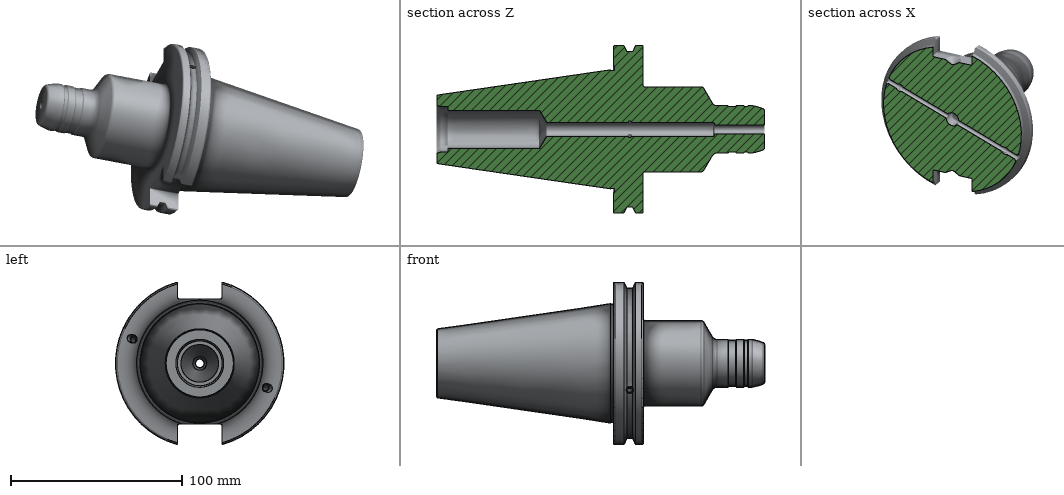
import cadquery as cq
import math

GAUGE_DIA = 69.85
TAPER_RATIO = 7 / 24
TAPER_LENGTH = 101.6
TAPER_END_CHAMFER = 0.5
NECK_DIA = 69.25

FLANGE_DIA = 98.425
FLANGE_REAR_X = 1.525
FLANGE_FRONT_X = 19.05
FLANGE_EDGE_FILLET = 1.0
GROOVE_CENTER_X = 11.15
GROOVE_MOUTH_WIDTH = 6.8
GROOVE_FLOOR_WIDTH = 3.4
GROOVE_DEPTH = 3.5
RECESS_DIA = 73.8
RECESS_DEPTH = 0.7
RECESS_FILLET = 0.6

SLOT_WIDTH = 25.7
UPPER_SLOT_FLOOR_DISTANCE = 37.7
LOWER_SLOT_FLOOR_DISTANCE = 35.5
SLOT_CORNER_FILLET = 0.6
SLOT_RIM_CHAMFER = 0.55
DIMPLE_DIA = 9.5
DRILL_POINT_ANGLE = 118

BODY_DIA = 50
BODY_ROOT_FILLET = 0.8
BODY_EDGE_FILLET = 2.0
SHOULDER_ANGLE = 60
NOSE_START_X = 60.25
NOSE_ROOT_FILLET = 3.0
NOSE_DIA = 28
NOSE_GROOVE_DIA = 27
NOSE_GROOVES = [(68.4, 73.5), (77.6, 80.4)]
LEAD_IN_START_X = 82.65
LEAD_IN_FILLET = 2.0
LEAD_IN_END_X = 88.9
LEAD_IN_END_DIA = 24.4
LEAD_IN_BULGE = 0.2
NOSE_END_X = 90
NOSE_FACE_DIA = 21.5

ENTRY_DIA = 28
COUNTERBORE_DIA = 26.2
ENTRY_LENGTH = 2.5
COUNTERBORE_DEPTH = 6.4
THREAD_BORE_DIA = 21.97
THREAD_BORE_DEPTH = 60
MIDDLE_BORE_DIA = 8
MIDDLE_BORE_END_X = 60
THROUGH_BORE_DIA = 5

COOLANT_ANGLE = 20
RADIAL_HOLE_DIA = 3.24
RADIAL_MOUTH_DIA = 4.13
RADIAL_MOUTH_DEPTH = 1.0
INLET_RADIUS = 42.1
INLET_TILT = 30
INLET_DIA = 4.92
INLET_DEPTH = 2.5
INLET_DRILL_DIA = 4.2


def axial_run(angle, height):
    """Axial run of a line that rises by height at the given angle to the axis."""
    return height / math.tan(math.radians(angle))


def revolve_about_x(profile):
    """Close an XY profile and turn it around the X axis into a solid."""
    return profile.close().revolve(360, (0, 0, 0), (1, 0, 0))


def ring_edges(solid, x):
    """Edges of the part that lie in the plane at the given X."""
    margin = 0.01
    reach = FLANGE_DIA
    slab = cq.selectors.BoxSelector((x - margin, -reach, -reach), (x + margin, reach, reach), boundingbox=True)
    return solid.edges(slab)


def make_shank():
    """Tapered shank with its neck, ending inside the flange."""
    gauge_radius = GAUGE_DIA / 2
    small_radius = gauge_radius - TAPER_RATIO * TAPER_LENGTH / 2
    shank = revolve_about_x(
        cq.Workplane("XY")
        .moveTo(-TAPER_LENGTH, 0)
        .lineTo(-TAPER_LENGTH, small_radius)
        .lineTo(0, gauge_radius)
        .lineTo(0, NECK_DIA / 2)
        .lineTo(GROOVE_CENTER_X, NECK_DIA / 2)
        .lineTo(GROOVE_CENTER_X, 0)
    )
    return shank.faces("<X").edges().chamfer(TAPER_END_CHAMFER)


def make_flange():
    """Round flange with a V groove in its rim and a shallow recess around the neck."""
    radius = FLANGE_DIA / 2
    floor_half = GROOVE_FLOOR_WIDTH / 2
    mouth_half = GROOVE_MOUTH_WIDTH / 2
    recess_x = FLANGE_REAR_X + RECESS_DEPTH
    flange = revolve_about_x(
        cq.Workplane("XY")
        .moveTo(recess_x, 0)
        .lineTo(recess_x, RECESS_DIA / 2)
        .lineTo(FLANGE_REAR_X, RECESS_DIA / 2)
        .lineTo(FLANGE_REAR_X, radius)
        .lineTo(GROOVE_CENTER_X - mouth_half, radius)
        .lineTo(GROOVE_CENTER_X - floor_half, radius - GROOVE_DEPTH)
        .lineTo(GROOVE_CENTER_X + floor_half, radius - GROOVE_DEPTH)
        .lineTo(GROOVE_CENTER_X + mouth_half, radius)
        .lineTo(FLANGE_FRONT_X, radius)
        .lineTo(FLANGE_FRONT_X, 0)
    )
    for outer_face_x in (FLANGE_REAR_X, FLANGE_FRONT_X):
        rim = ring_edges(flange, outer_face_x).edges(cq.selectors.RadiusNthSelector(-1))
        flange = rim.fillet(FLANGE_EDGE_FILLET)
    return ring_edges(flange, recess_x).fillet(RECESS_FILLET)


def make_nose_groove(start_x, end_x):
    """Shallow ring with 45 degree walls, between its two mouth edges on the nose."""
    nose_radius = NOSE_DIA / 2
    floor_radius = NOSE_GROOVE_DIA / 2
    depth = nose_radius - floor_radius
    return revolve_about_x(
        cq.Workplane("XY")
        .moveTo(start_x, nose_radius)
        .lineTo(start_x + depth, floor_radius)
        .lineTo(end_x - depth, floor_radius)
        .lineTo(end_x, nose_radius)
    )


def make_body():
    """Cylindrical body, conical shoulder and grooved nose with a rounded lead-in."""
    body_radius = BODY_DIA / 2
    nose_radius = NOSE_DIA / 2
    lead_in_radius = LEAD_IN_END_DIA / 2
    shoulder_x = NOSE_START_X - axial_run(SHOULDER_ANGLE, body_radius - nose_radius)
    lead_in_middle = (
        (LEAD_IN_START_X + LEAD_IN_END_X) / 2,
        (nose_radius + lead_in_radius) / 2 + LEAD_IN_BULGE,
    )
    body = revolve_about_x(
        cq.Workplane("XY")
        .moveTo(GROOVE_CENTER_X, 0)
        .lineTo(GROOVE_CENTER_X, body_radius)
        .lineTo(shoulder_x, body_radius)
        .lineTo(NOSE_START_X, nose_radius)
        .lineTo(LEAD_IN_START_X, nose_radius)
        .threePointArc(lead_in_middle, (LEAD_IN_END_X, lead_in_radius))
        .tangentArcPoint((NOSE_END_X, NOSE_FACE_DIA / 2), relative=False)
        .lineTo(NOSE_END_X, 0)
    )
    body = ring_edges(body, shoulder_x).fillet(BODY_EDGE_FILLET)
    body = ring_edges(body, NOSE_START_X).fillet(NOSE_ROOT_FILLET)
    body = ring_edges(body, LEAD_IN_START_X).fillet(LEAD_IN_FILLET)
    for start_x, end_x in NOSE_GROOVES:
        body = body.cut(make_nose_groove(start_x, end_x))
    return body


def make_bore():
    """Stepped bore along the axis, from the shank end to the nose face."""
    entry_x = -TAPER_LENGTH
    thread_radius = THREAD_BORE_DIA / 2
    middle_radius = MIDDLE_BORE_DIA / 2
    through_radius = THROUGH_BORE_DIA / 2
    half_point = DRILL_POINT_ANGLE / 2
    thread_end = entry_x + THREAD_BORE_DEPTH
    cone_end = thread_end + axial_run(half_point, thread_radius - middle_radius)
    middle_tip = MIDDLE_BORE_END_X + axial_run(half_point, middle_radius - through_radius)
    return revolve_about_x(
        cq.Workplane("XY")
        .moveTo(entry_x, 0)
        .lineTo(entry_x, ENTRY_DIA / 2)
        .lineTo(entry_x + ENTRY_LENGTH, COUNTERBORE_DIA / 2)
        .lineTo(entry_x + COUNTERBORE_DEPTH, COUNTERBORE_DIA / 2)
        .lineTo(entry_x + COUNTERBORE_DEPTH, thread_radius)
        .lineTo(thread_end, thread_radius)
        .lineTo(cone_end, middle_radius)
        .lineTo(MIDDLE_BORE_END_X, middle_radius)
        .lineTo(middle_tip, through_radius)
        .lineTo(NOSE_END_X, through_radius)
        .lineTo(NOSE_END_X, 0)
    )


def make_drive_slot(floor_distance):
    """Key slot across the flange on the +Z side, with a drill-point dimple in its floor."""
    half_width = SLOT_WIDTH / 2
    rim_half_width = half_width + SLOT_RIM_CHAMFER
    rim_z = math.sqrt((FLANGE_DIA / 2) ** 2 - rim_half_width**2)
    clear_z = FLANGE_DIA
    slot = (
        cq.Workplane("YZ", origin=(FLANGE_REAR_X, 0, 0))
        .moveTo(-half_width, floor_distance)
        .lineTo(half_width, floor_distance)
        .lineTo(half_width, rim_z - SLOT_RIM_CHAMFER)
        .lineTo(rim_half_width, rim_z)
        .lineTo(rim_half_width, clear_z)
        .lineTo(-rim_half_width, clear_z)
        .lineTo(-rim_half_width, rim_z)
        .lineTo(-half_width, rim_z - SLOT_RIM_CHAMFER)
        .close()
        .extrude(FLANGE_FRONT_X - FLANGE_REAR_X)
        .faces("<Z")
        .edges("|X")
        .fillet(SLOT_CORNER_FILLET)
    )
    dimple_depth = axial_run(DRILL_POINT_ANGLE / 2, DIMPLE_DIA / 2)
    dimple_center = cq.Vector(GROOVE_CENTER_X, 0, floor_distance)
    dimple = cq.Solid.makeCone(DIMPLE_DIA / 2, 0, dimple_depth, dimple_center, cq.Vector(0, 0, -1))
    return slot.union(cq.Workplane(dimple))


def make_coolant_passage():
    """Radial passage along +Y from groove floor to bore, with a tilted inlet from the flange rear face."""
    floor_radius = FLANGE_DIA / 2 - GROOVE_DEPTH
    inward = cq.Vector(0, -1, 0)
    mouth_start = cq.Vector(GROOVE_CENTER_X, floor_radius + RADIAL_MOUTH_DEPTH, 0)
    radial = cq.Solid.makeCylinder(RADIAL_HOLE_DIA / 2, mouth_start.y, mouth_start, inward)
    mouth = cq.Solid.makeCylinder(RADIAL_MOUTH_DIA / 2, 2 * RADIAL_MOUTH_DEPTH, mouth_start, inward)

    tilt = math.radians(INLET_TILT)
    direction = cq.Vector(math.cos(tilt), -math.sin(tilt), 0)
    inlet_start = cq.Vector(FLANGE_REAR_X, INLET_RADIUS, 0)
    lead = INLET_DIA
    drill_length = (GROOVE_CENTER_X - FLANGE_REAR_X) / math.cos(tilt)
    outside = inlet_start - direction * lead
    inlet = cq.Solid.makeCylinder(INLET_DIA / 2, lead + INLET_DEPTH, outside, direction)
    drill = cq.Solid.makeCylinder(INLET_DRILL_DIA / 2, lead + drill_length, outside, direction)
    return cq.Workplane(radial.fuse(mouth, inlet, drill))


result = make_shank().union(make_flange()).union(make_body())
body_root = ring_edges(result, FLANGE_FRONT_X).edges(cq.selectors.RadiusNthSelector(0))
result = body_root.fillet(BODY_ROOT_FILLET)
result = result.cut(make_bore())
result = result.cut(make_drive_slot(UPPER_SLOT_FLOOR_DISTANCE))
result = result.cut(make_drive_slot(LOWER_SLOT_FLOOR_DISTANCE).rotate((0, 0, 0), (1, 0, 0), 180))
for half_turn in (0, 180):
    passage = make_coolant_passage().rotate((0, 0, 0), (1, 0, 0), COOLANT_ANGLE + half_turn)
    result = result.cut(passage)